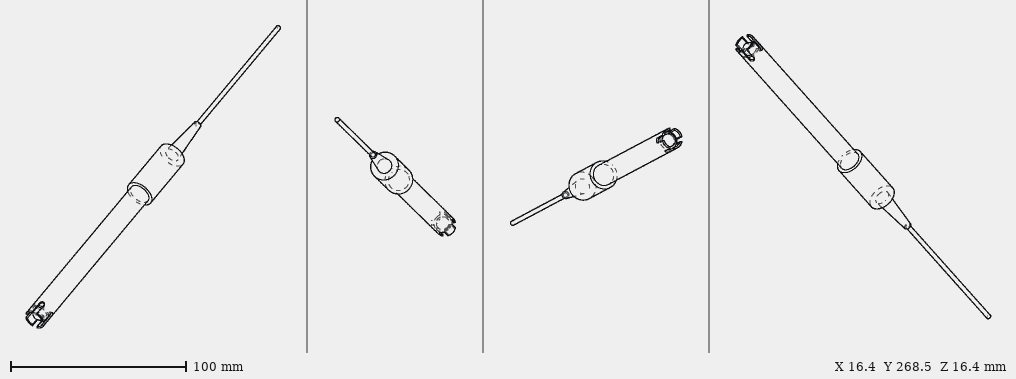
import cadquery as cq

length = 268.5
cable_end = length / 2
boot_end = 45.0
collar_back = 17.0
collar_front = -18.8
tip = -length / 2

cable_radius = 1.3
boot_small_radius = 2.1
boot_large_radius = 4.3
collar_radius = 8.2
tube_radius = 6.2

cup_radius = 5.0
cup_depth = 6.7
slot_width = 3.0
slot_depth = 9.5
slot_count = 4
bulb_radius = 3.8
bulb_recess = 1.5


def make_body():
    """Cable, tapered boot, collar and tube, revolved about Y."""
    profile = [
        (0, tip),
        (tube_radius, tip),
        (tube_radius, collar_front),
        (collar_radius, collar_front),
        (collar_radius, collar_back),
        (boot_large_radius, collar_back),
        (boot_small_radius, boot_end),
        (cable_radius, boot_end),
        (cable_radius, cable_end),
        (0, cable_end),
    ]
    return cq.Workplane("XY").polyline(profile).close().revolve(360, (0, 0), (0, 1))


def make_core(depth):
    """Round plug of the cup radius, reaching inward from the tip."""
    return cq.Workplane("XZ", origin=(0, tip, 0)).circle(cup_radius).extrude(-depth)


def make_cup():
    """Blind round cavity in the tube tip."""
    return make_core(cup_depth)


def make_slot():
    """Round-ended slot through one wall, on the +Z side of the tip."""
    slot_radius = slot_width / 2
    arc_start = tip + slot_depth - slot_radius
    return (
        cq.Workplane("XY")
        .moveTo(-slot_radius, tip)
        .lineTo(-slot_radius, arc_start)
        .threePointArc((0, tip + slot_depth), (slot_radius, arc_start))
        .lineTo(slot_radius, tip)
        .close()
        .extrude(collar_radius)
        .cut(make_core(slot_depth))
    )


def make_bulb():
    """Round glass bulb seated on the floor of the cup."""
    center_y = tip + bulb_recess + bulb_radius
    stem_length = slot_depth - bulb_recess - bulb_radius
    stem = cq.Workplane("XZ", origin=(0, center_y, 0)).circle(bulb_radius).extrude(-stem_length)
    return cq.Workplane("XY", origin=(0, center_y, 0)).sphere(bulb_radius).union(stem)


result = make_body().cut(make_cup())
for index in range(slot_count):
    angle = index * 360 / slot_count
    result = result.cut(make_slot().rotate((0, 0, 0), (0, 1, 0), angle))
result = result.union(make_bulb())